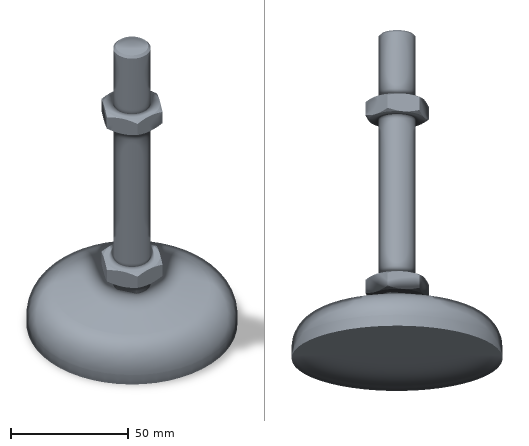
import cadquery as cq
import math

total_height = 145.0
base_diameter = 90.0
rim_height = 5.0
shoulder_radius = 13.0
cone_slope_angle = 7.0
stud_diameter = 16.0
stud_chamfer = 1.0
neck_across_flats = 13.0
nut_across_flats = 24.0
nut_height = 8.0
nut_chamfer_angle = 30.0
lower_nut_bottom = 27.3
upper_nut_bottom = 107.0

base_radius = base_diameter / 2
stud_radius = stud_diameter / 2

cone_slope = math.radians(cone_slope_angle)
cone_edge_radius = base_radius - shoulder_radius * (1 - math.sin(cone_slope))
cone_edge_height = rim_height + shoulder_radius * math.cos(cone_slope)
cone_top_height = cone_edge_height + (cone_edge_radius - stud_radius) * math.tan(cone_slope)


def make_base():
    """Revolved foot: upright rim, rounded shoulder and shallow conical top."""
    return (
        cq.Workplane("XZ")
        .lineTo(base_radius, 0)
        .lineTo(base_radius, rim_height)
        .tangentArcPoint((cone_edge_radius, cone_edge_height), relative=False)
        .lineTo(stud_radius, cone_top_height)
        .lineTo(0, cone_top_height)
        .close()
        .revolve(360, (0, 0, 0), (0, 1, 0))
    )


def make_stud():
    """Round stud rising from a neck with two wrench flats facing +Y and -Y."""
    neck_height = lower_nut_bottom - cone_top_height
    neck = (
        cq.Workplane("XY", origin=(0, 0, cone_top_height))
        .circle(stud_radius)
        .extrude(neck_height)
        .intersect(
            cq.Workplane("XY", origin=(0, 0, cone_top_height))
            .rect(stud_diameter, neck_across_flats)
            .extrude(neck_height)
        )
    )
    shank = (
        cq.Workplane("XY", origin=(0, 0, lower_nut_bottom))
        .circle(stud_radius)
        .extrude(total_height - lower_nut_bottom)
        .faces(">Z")
        .chamfer(stud_chamfer)
    )
    return neck.union(shank)


def make_nut(bottom):
    """Hexagon nut with corners on the X axis and conically chamfered ends."""
    corner_radius = nut_across_flats / 2 / math.cos(math.radians(30))
    face_radius = nut_across_flats / 2
    corner_drop = (corner_radius - face_radius) * math.tan(math.radians(nut_chamfer_angle))
    hexagon = cq.Workplane("XY").polygon(6, 2 * corner_radius).extrude(nut_height)
    chamfer_envelope = (
        cq.Workplane("XZ")
        .lineTo(face_radius, 0)
        .lineTo(corner_radius, corner_drop)
        .lineTo(corner_radius, nut_height - corner_drop)
        .lineTo(face_radius, nut_height)
        .lineTo(0, nut_height)
        .close()
        .revolve(360, (0, 0, 0), (0, 1, 0))
    )
    return hexagon.intersect(chamfer_envelope).translate((0, 0, bottom))


result = make_base().union(make_stud())
for nut_bottom in (lower_nut_bottom, upper_nut_bottom):
    result = result.union(make_nut(nut_bottom))